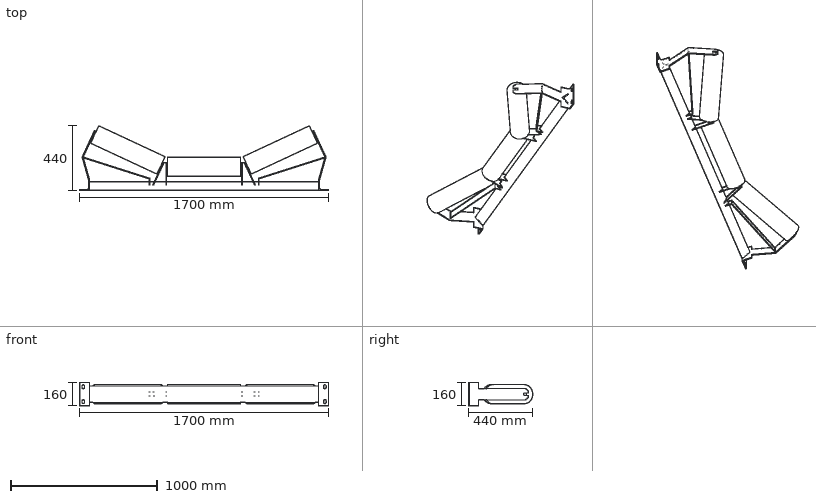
import cadquery as cq
import math


LENGTH = 1700.0
TOP_Y = 440.0
TILT = 25.0

LEG_SIZE = 80.0
LEG_THICKNESS = 8.0
ROOT_RADIUS = 10.0
TOE_RADIUS = 5.0
RIDGE_TURN = 45.0

ROLLER_LENGTH = 500.0
ROLLER_DIAMETER = 133.0
ROLLER_EDGE_RADIUS = 5.0
SHAFT_RADIUS = 10.0
SHAFT_FLATS = 15.0
CENTER_ROLLER_Y = 162.0
SIDE_ROLLER_X = 520.0
END_CLEARANCE = 5.0
SLOT_HEIGHT = 34.0

ARM_THICKNESS = 8.0
BEND_RADIUS = 8.0
FOOT_FLANGE = 70.0
FOOT_WIDTH = 160.0
FOOT_HEIGHT = 70.0
ARM_WIDTH = 76.0
KNEE_Y = 228.0
ARM_ABOVE_SHAFT = 25.0
TIP_CHAMFER_LENGTH = 20.0
TIP_CHAMFER_INSET = 15.0
HOLE_EDGE_DISTANCE = 25.0
HOLE_SPACING = 102.0
HOLE_LENGTH = 25.0
HOLE_WIDTH = 15.0

STRAP_THICKNESS = 6.0
STRAP_WIDTH = 50.0
BRACKET_TOP_Y = 192.0
STRUT_FOOT_X = 370.0
STRUT_TOP_X = 828.0
STRUT_BEND_Y = 83.0
STRUT_SLOPE = 17.7

tilt = math.radians(TILT)
axis_dir = (math.cos(tilt), -math.sin(tilt))
plate_up = (math.sin(tilt), math.cos(tilt))
half_roller = ROLLER_LENGTH / 2
drum_radius = ROLLER_DIAMETER / 2
side_roller_y = (
    TOP_Y
    - ROLLER_EDGE_RADIUS
    - (half_roller - ROLLER_EDGE_RADIUS) * math.sin(tilt)
    - (drum_radius - ROLLER_EDGE_RADIUS) * math.cos(tilt)
)
beam_half = LENGTH / 2 - FOOT_FLANGE
ridge_y = (LEG_SIZE + LEG_THICKNESS - 2 * TOE_RADIUS) / math.sqrt(2) + TOE_RADIUS
strap_bottom_y = ridge_y - STRAP_WIDTH / 2


def on_left_axis(distance):
    """Point on the left roller axis, measured from mid-roller toward the center."""
    return (-SIDE_ROLLER_X + distance * axis_dir[0], side_roller_y + distance * axis_dir[1])


def on_plate(point, y):
    """Point at height y on the line through `point` that is square to the left roller axis."""
    return (point[0] + (y - point[1]) * plate_up[0] / plate_up[1], y)


def offset_right(path, thickness):
    """Mitered copy of an open path, moved by the thickness to the right of its direction."""
    normals = []
    for (x0, y0), (x1, y1) in zip(path, path[1:]):
        run = math.hypot(x1 - x0, y1 - y0)
        normals.append(((y1 - y0) / run, (x0 - x1) / run))
    moved = []
    for (x, y), before, after in zip(path, normals[:1] + normals, normals + normals[-1:]):
        scale = thickness / (1 + before[0] * after[0] + before[1] * after[1])
        moved.append((x + scale * (before[0] + after[0]), y + scale * (before[1] + after[1])))
    return moved


def bent_strip(path, thickness, width):
    """Plate of the given width along Z, bent along a path; its thickness lies right of the path."""
    outline = path + offset_right(path, thickness)[::-1]
    return cq.Workplane("XY").polyline(outline).close().extrude(width / 2, both=True)


def round_edge(body, direction, point, radius):
    """Fillet the edge along the given direction that lies nearest to a point."""
    return body.edges(direction).edges(cq.selectors.NearestToPointSelector(point)).fillet(radius)


def along_left_axis(shape):
    """Move a shape built along X at the origin onto the left roller axis."""
    return shape.rotate((0, 0, 0), (0, 0, 1), -TILT).translate((-SIDE_ROLLER_X, side_roller_y, 0))


def make_beam():
    """Angle section with its ridge up (+Y), round root and round toes."""
    section = (
        cq.Workplane("YZ", origin=(-beam_half, 0, 0))
        .polyline([(0, 0), (-LEG_SIZE, 0), (-LEG_SIZE, LEG_THICKNESS), (-LEG_THICKNESS, LEG_THICKNESS),
                   (-LEG_THICKNESS, LEG_SIZE), (0, LEG_SIZE)])
        .close()
        .extrude(2 * beam_half)
    )
    section = round_edge(section, "|X", (0, -LEG_THICKNESS, LEG_THICKNESS), ROOT_RADIUS)
    section = round_edge(section, "|X", (0, -LEG_SIZE, LEG_THICKNESS), TOE_RADIUS)
    section = round_edge(section, "|X", (0, -LEG_THICKNESS, LEG_SIZE), TOE_RADIUS)
    return section.rotate((0, 0, 0), (1, 0, 0), RIDGE_TURN).translate((0, ridge_y, 0))


def ridge_wedge():
    """Everything below the outer faces of the beam, for notching the straps that stand on it."""
    return (
        cq.Workplane("YZ", origin=(-beam_half, 0, 0))
        .polyline([(ridge_y, 0), (0, ridge_y), (0, -ridge_y)])
        .close()
        .extrude(2 * beam_half)
    )


def shaft_between(x_start, x_end):
    """Shaft along X with a flat on each side (+Z and -Z)."""
    span = x_end - x_start
    flats = cq.Workplane("YZ", origin=(x_start, 0, 0)).rect(2 * SHAFT_RADIUS, SHAFT_FLATS).extrude(span)
    return cq.Workplane("YZ", origin=(x_start, 0, 0)).circle(SHAFT_RADIUS).extrude(span).intersect(flats)


def make_roller(left_plate, right_plate):
    """Roller along X at the origin; its shaft ends flush with the far faces of its two plates."""
    drum = (
        cq.Workplane("YZ", origin=(-half_roller, 0, 0))
        .circle(drum_radius)
        .extrude(ROLLER_LENGTH)
        .edges()
        .fillet(ROLLER_EDGE_RADIUS)
    )
    reach = half_roller + END_CLEARANCE
    return drum.union(shaft_between(-reach - left_plate, reach + right_plate))


def shaft_slot():
    """Cutter along X at the origin: the shaft section, open upward (+Y)."""
    reach = half_roller + END_CLEARANCE + ARM_THICKNESS
    opening = (
        cq.Workplane("XY")
        .box(2 * reach, SLOT_HEIGHT, SHAFT_FLATS)
        .translate((0, SLOT_HEIGHT / 2, 0))
    )
    return shaft_between(-reach, reach).union(opening)


def make_left_arm():
    """Bent plate: bolted foot flange, leg against the beam end, knee and slotted tip."""
    leg_x = -beam_half - ARM_THICKNESS
    face = on_left_axis(-half_roller - END_CLEARANCE - ARM_THICKNESS)
    tip = (face[0] + ARM_ABOVE_SHAFT * plate_up[0], face[1] + ARM_ABOVE_SHAFT * plate_up[1])
    foot_corner = (leg_x, ARM_THICKNESS)
    knee = on_plate(face, KNEE_Y)
    path = [(-LENGTH / 2, ARM_THICKNESS), foot_corner, (leg_x, FOOT_HEIGHT), knee, tip]
    inner_knee = offset_right(path, ARM_THICKNESS)[path.index(knee)]
    arm = bent_strip(path, ARM_THICKNESS, FOOT_WIDTH)
    arm = round_edge(arm, "|Z", (*foot_corner, 0), BEND_RADIUS)
    arm = round_edge(arm, "|Z", (*knee, 0), BEND_RADIUS + ARM_THICKNESS)
    arm = round_edge(arm, "|Z", (*inner_knee, 0), BEND_RADIUS)

    margin = (FOOT_WIDTH - ARM_WIDTH) / 2
    for side in (1, -1):
        trim = cq.Workplane("XY").box(LENGTH, LENGTH, margin)
        arm = arm.cut(trim.translate((0, FOOT_HEIGHT + LENGTH / 2, side * (ARM_WIDTH + margin) / 2)))

    corner_y = ARM_ABOVE_SHAFT - TIP_CHAMFER_LENGTH
    corner_z = ARM_WIDTH / 2 - TIP_CHAMFER_INSET
    for side in (1, -1):
        corner = (
            cq.Workplane("YZ", origin=(-ROLLER_LENGTH, 0, 0))
            .polyline([(corner_y, side * ARM_WIDTH / 2), (ARM_ABOVE_SHAFT, side * corner_z),
                       (ARM_ABOVE_SHAFT, side * ARM_WIDTH / 2)])
            .close()
            .extrude(half_roller)
        )
        arm = arm.cut(along_left_axis(corner))
    arm = arm.cut(along_left_axis(shaft_slot()))

    holes = (
        cq.Workplane("XZ", origin=(-LENGTH / 2 + HOLE_EDGE_DISTANCE, 0, 0))
        .pushPoints([(0, HOLE_SPACING / 2), (0, -HOLE_SPACING / 2)])
        .slot2D(HOLE_LENGTH, HOLE_WIDTH, 90)
        .extrude(-ARM_THICKNESS)
    )
    return arm.cut(holes)


def make_left_bracket():
    """Bent strap between the left and center rollers, standing astride the beam ridge."""
    slanted_face = on_left_axis(half_roller + END_CLEARANCE)
    upright_x = -half_roller - END_CLEARANCE
    slanted_skin = [on_plate(slanted_face, y) for y in (strap_bottom_y, BRACKET_TOP_Y)]
    path = slanted_skin + [(upright_x, BRACKET_TOP_Y), (upright_x, strap_bottom_y)]
    bracket = bent_strip(path, STRAP_THICKNESS, STRAP_WIDTH)
    center_slot = shaft_slot().translate((0, CENTER_ROLLER_Y, 0))
    return bracket.cut(ridge_wedge()).cut(along_left_axis(shaft_slot())).cut(center_slot)


def make_left_strut(arm):
    """Bent strap from the beam ridge up to the knee of the arm."""
    rise = (STRUT_TOP_X - STRUT_FOOT_X) * math.tan(math.radians(STRUT_SLOPE))
    path = [
        (-STRUT_TOP_X, STRUT_BEND_Y + rise),
        (-STRUT_FOOT_X, STRUT_BEND_Y),
        (-STRUT_FOOT_X, strap_bottom_y),
    ]
    return bent_strip(path, STRAP_THICKNESS, STRAP_WIDTH).cut(ridge_wedge()).cut(arm)


center_roller = make_roller(STRAP_THICKNESS, STRAP_THICKNESS).translate((0, CENTER_ROLLER_Y, 0))
left_roller = along_left_axis(make_roller(ARM_THICKNESS, STRAP_THICKNESS))
left_arm = make_left_arm()
left_strut = make_left_strut(left_arm)
left_bracket = make_left_bracket()
right_bracket = left_bracket.mirror("YZ")
beam = make_beam().union(left_bracket)

bodies = [beam, right_bracket, center_roller]
for left_body in (left_roller, left_arm, left_strut):
    bodies += [left_body, left_body.mirror("YZ")]
result = cq.Compound.makeCompound([body.solids().val() for body in bodies])